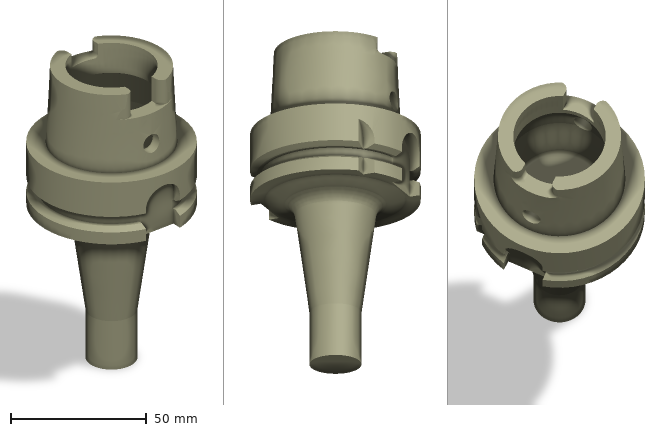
import cadquery as cq
import math

total_length = 122.9
taper_length = 32.0
flange_height = 26.0
face_z = total_length - taper_length
flange_bottom_z = face_z - flange_height

taper_base_radius = 48.6 / 2
taper_ratio = 1 / 10
taper_tip_radius = taper_base_radius - taper_length * taper_ratio / 2

flange_radius = 62.94 / 2
groove_radius = 55.0 / 2
groove_floor_width = 3.75
groove_center_z = face_z - 17.75
groove_chamfer_height = 1.4
groove_chamfer_angle = 60.0
groove_chamfer_depth = groove_chamfer_height * math.tan(math.radians(groove_chamfer_angle))

shank_radius = 19.2 / 2
shank_length = 20.4
neck_angle = 8.0
hub_radius = 26.0
hub_angle = 14.0
neck_fillet = 5.0

bore_radius = 34.05 / 2
bore_depth = 12.6
shoulder_angle = 30.0
undercut_radius = 40.08 / 2
shoulder_height = (undercut_radius - bore_radius) * math.tan(math.radians(shoulder_angle))
narrowing_start_depth = 25.6
floor_depth = 42.0
cone_end_radius = 17.2
floor_radius = 31.6 / 2
floor_round = cone_end_radius - floor_radius

cross_hole_diameter = 7.5
cross_hole_height = 9.3
cross_hole_z = face_z + cross_hole_height

drive_slot_width = 12.54
drive_slot_round = 2.8
drive_slot_graze_radius = 23.0
drive_slot_flat_length = 8.0
drive_slot_depth_minus_x = 6.0
drive_slot_depth_plus_x = 10.3
drive_slot_floor_fillet = 1.5

keyway_radius = 8.0
keyway_center_z = face_z - 12.8
keyway_floor_x = 26.5
notch_floor_x = 20.1
notch_wall_y = 19.7


def holder_body():
    """Revolved outer shape: taper, grooved flange, conical neck and straight shank."""
    neck_slope = math.tan(math.radians(neck_angle))
    hub_slope = math.tan(math.radians(hub_angle))
    hub_overhang = hub_radius - shank_radius + shank_length * neck_slope
    corner_z = (flange_bottom_z - hub_overhang * hub_slope) / (1 - neck_slope * hub_slope)
    corner_radius = shank_radius + (corner_z - shank_length) * neck_slope

    groove_rim_radius = flange_radius - groove_chamfer_depth
    groove_low_z = groove_center_z - groove_floor_width / 2
    groove_high_z = groove_center_z + groove_floor_width / 2

    outline = [
        (0, 0),
        (shank_radius, 0),
        (shank_radius, shank_length),
        (corner_radius, corner_z),
        (hub_radius, flange_bottom_z),
        (flange_radius, flange_bottom_z),
        (flange_radius, groove_low_z - groove_chamfer_height),
        (groove_rim_radius, groove_low_z),
        (groove_radius, groove_low_z),
        (groove_radius, groove_high_z),
        (groove_rim_radius, groove_high_z),
        (flange_radius, groove_high_z + groove_chamfer_height),
        (flange_radius, face_z),
        (taper_base_radius, face_z),
        (taper_tip_radius, total_length),
        (0, total_length),
    ]
    body = cq.Workplane("XZ").polyline(outline).close().revolve(360, (0, 0), (0, 1))
    half_band = 0.1
    corner_band = cq.selectors.BoxSelector(
        (-flange_radius, -flange_radius, corner_z - half_band),
        (flange_radius, flange_radius, corner_z + half_band),
        boundingbox=True,
    )
    return body.edges(corner_band).fillet(neck_fillet)


def cavity():
    """Clamping cavity: entry bore, conical shoulder, undercut, narrowing cone and rounded flat floor."""
    bore_end_z = total_length - bore_depth
    floor_z = total_length - floor_depth
    round_top_z = floor_z + floor_round
    round_mid = floor_round * math.sqrt(0.5)
    return (
        cq.Workplane("XZ")
        .moveTo(0, total_length)
        .lineTo(bore_radius, total_length)
        .lineTo(bore_radius, bore_end_z)
        .lineTo(undercut_radius, bore_end_z - shoulder_height)
        .lineTo(undercut_radius, total_length - narrowing_start_depth)
        .lineTo(cone_end_radius, round_top_z)
        .threePointArc((floor_radius + round_mid, round_top_z - round_mid), (floor_radius, floor_z))
        .lineTo(0, floor_z)
        .close()
        .revolve(360, (0, 0), (0, 1))
    )


def cross_hole():
    """Radial hole along X through both taper walls."""
    return (
        cq.Workplane("YZ")
        .center(0, cross_hole_z)
        .circle(cross_hole_diameter / 2)
        .extrude(flange_radius, both=True)
    )


def drive_slot(depth, floor_fillet=0.0):
    """Slot opening toward +X; each side wall rounds outward into a flat that grazes the taper."""
    half_width = drive_slot_width / 2
    center_y = half_width + drive_slot_round
    center_x = math.sqrt((drive_slot_graze_radius - drive_slot_round) ** 2 - center_y**2)
    flat_normal = math.atan2(center_y, center_x)
    mid_angle = (flat_normal - math.pi / 2) / 2
    mid_x = center_x + drive_slot_round * math.cos(mid_angle)
    mid_y = center_y + drive_slot_round * math.sin(mid_angle)
    end_x = center_x + drive_slot_round * math.cos(flat_normal)
    end_y = center_y + drive_slot_round * math.sin(flat_normal)
    mouth_x = end_x - drive_slot_flat_length * math.sin(flat_normal)
    mouth_y = end_y + drive_slot_flat_length * math.cos(flat_normal)
    slot = (
        cq.Workplane("XY", origin=(0, 0, total_length - depth))
        .moveTo(0, -half_width)
        .lineTo(center_x, -half_width)
        .threePointArc((mid_x, -mid_y), (end_x, -end_y))
        .lineTo(mouth_x, -mouth_y)
        .lineTo(flange_radius, -mouth_y)
        .lineTo(flange_radius, mouth_y)
        .lineTo(mouth_x, mouth_y)
        .lineTo(end_x, end_y)
        .threePointArc((mid_x, mid_y), (center_x, half_width))
        .lineTo(0, half_width)
        .close()
        .extrude(depth)
    )
    if floor_fillet > 0:
        slot = slot.faces("<Z").edges().fillet(floor_fillet)
    return slot


def keyway(center_y, floor_x):
    """Round-topped slot from the flange underside, milled in from +X down to floor_x."""
    return (
        cq.Workplane("YZ", origin=(floor_x, center_y, 0))
        .moveTo(-keyway_radius, flange_bottom_z)
        .lineTo(-keyway_radius, keyway_center_z)
        .threePointArc((0, keyway_center_z + keyway_radius), (keyway_radius, keyway_center_z))
        .lineTo(keyway_radius, flange_bottom_z)
        .close()
        .extrude(flange_radius)
    )


def on_minus_x(shape):
    """Mirror a +X cutter to the -X side."""
    return shape.mirror("YZ")


result = (
    holder_body()
    .cut(cavity())
    .cut(cross_hole())
    .cut(drive_slot(drive_slot_depth_plus_x))
    .cut(on_minus_x(drive_slot(drive_slot_depth_minus_x, drive_slot_floor_fillet)))
    .cut(keyway(0, keyway_floor_x))
    .cut(on_minus_x(keyway(0, keyway_floor_x)))
    .cut(on_minus_x(keyway(notch_wall_y + keyway_radius, notch_floor_x)))
)